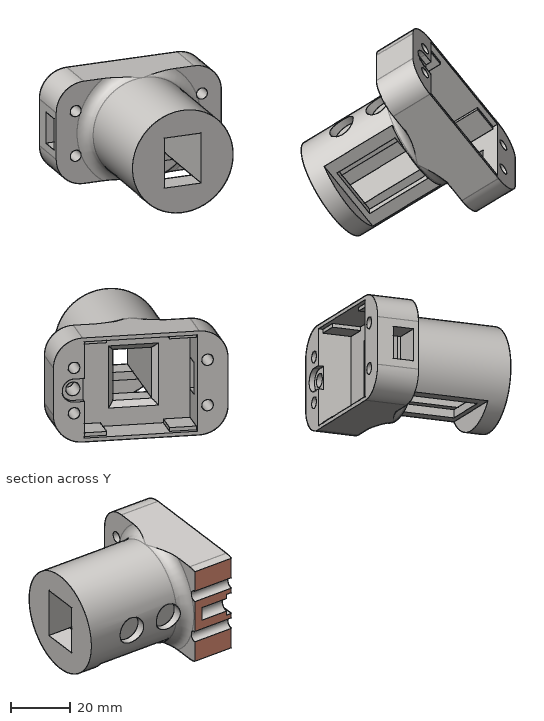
import cadquery as cq

FLANGE_WIDTH = 60.4
FLANGE_HEIGHT = 36.8
FLANGE_THICKNESS = 15.15
FLANGE_CORNER_RADIUS = 10.0

OVERALL_LENGTH = 54.5
BODY_RADIUS = FLANGE_HEIGHT / 2
ROOT_FILLET_RADIUS = 4.15

POCKET_WIDTH = 39.05
POCKET_HEIGHT = 34.05
POCKET_DEPTH = 12.1
PAD_START = 1.75
PAD_HEIGHT = 1.3
PAD_WIDTH_LEFT = 8.1
PAD_WIDTH_RIGHT = 9.25

WINDOW_WIDTH = 13.4
WINDOW_HEIGHT = 18.0
WINDOW_CENTER_Z = 0.3
WINDOW_CHAMFER = 2.0

SCREW_HOLE_DIAMETER = 4.0
SCREW_OFFSET_Y = 23.05
SCREW_OFFSET_Z = 8.0
RECESS_WIDTH = 8.15
RECESS_DEPTH = 2.0
RECESS_HOLE_DIAMETER = 4.8
RECESS_HOLE_END = POCKET_DEPTH

SIDE_OPENING_START = 5.85
SIDE_OPENING_LENGTH = 7.35
SIDE_OPENING_HEIGHT = 11.2

UNDERCUT_START = 19.8
UNDERCUT_END = 47.8
UNDERCUT_HEIGHT = 6.8
LEDGE = 2.0
UPPER_RECESS_WIDTH = 19.3

SIDE_HOLE_DIAMETER = 9.7
SIDE_HOLE_DEPTH = 3.4
SIDE_HOLE_FIRST_X = 22.8
SIDE_HOLE_SPACING = 15.0


def block(x_start, x_end, y_start, y_end, z_start, z_end):
    """Box between the given limits along each axis."""
    size = (x_end - x_start, y_end - y_start, z_end - z_start)
    return cq.Workplane("XY").box(*size, centered=False).translate((x_start, y_start, z_start))


def centred_block(x_start, x_end, width, height):
    """Box centred on the X axis."""
    return block(x_start, x_end, -width / 2, width / 2, -height / 2, height / 2)


def rod(x_start, x_end, diameter, y=0, z=0):
    """Cylinder parallel to the X axis."""
    plane = cq.Workplane("YZ", origin=(x_start, y, z))
    return plane.circle(diameter / 2).extrude(x_end - x_start)


def flange():
    plate = centred_block(0, FLANGE_THICKNESS, FLANGE_WIDTH, FLANGE_HEIGHT)
    return plate.edges("|X").fillet(FLANGE_CORNER_RADIUS)


def round_body():
    """Cylinder with a concave root fillet, trimmed level with the flange top and bottom."""
    fillet_end = FLANGE_THICKNESS + ROOT_FILLET_RADIUS
    root_radius = BODY_RADIUS + ROOT_FILLET_RADIUS
    arc_offset = ROOT_FILLET_RADIUS * (1 - 0.5 ** 0.5)
    turned = (
        cq.Workplane("XY")
        .moveTo(POCKET_DEPTH, 0)
        .lineTo(POCKET_DEPTH, BODY_RADIUS)
        .lineTo(FLANGE_THICKNESS, BODY_RADIUS)
        .lineTo(FLANGE_THICKNESS, root_radius)
        .threePointArc(
            (FLANGE_THICKNESS + arc_offset, BODY_RADIUS + arc_offset),
            (fillet_end, BODY_RADIUS),
        )
        .lineTo(OVERALL_LENGTH, BODY_RADIUS)
        .lineTo(OVERALL_LENGTH, 0)
        .close()
        .revolve(360, (0, 0, 0), (1, 0, 0))
    )
    return turned.intersect(centred_block(0, OVERALL_LENGTH, FLANGE_WIDTH, FLANGE_HEIGHT))


def pocket():
    """Pocket volume, less the pads that stay standing in its corners."""
    cavity = centred_block(0, POCKET_DEPTH, POCKET_WIDTH, POCKET_HEIGHT)
    side = POCKET_WIDTH / 2
    top = POCKET_HEIGHT / 2
    pad_spans = ((side - PAD_WIDTH_LEFT, side), (-side, PAD_WIDTH_RIGHT - side))
    for y_start, y_end in pad_spans:
        for z_start in (-top, top - PAD_HEIGHT):
            z_end = z_start + PAD_HEIGHT
            cavity = cavity.cut(block(PAD_START, POCKET_DEPTH, y_start, y_end, z_start, z_end))
    return cavity


def window():
    passage = centred_block(POCKET_DEPTH, OVERALL_LENGTH, WINDOW_WIDTH, WINDOW_HEIGHT)
    mouth = (
        cq.Workplane("YZ", origin=(POCKET_DEPTH, 0, 0))
        .rect(WINDOW_WIDTH + 2 * WINDOW_CHAMFER, WINDOW_HEIGHT + 2 * WINDOW_CHAMFER)
        .workplane(offset=WINDOW_CHAMFER)
        .rect(WINDOW_WIDTH, WINDOW_HEIGHT)
        .loft(ruled=True)
    )
    return passage.union(mouth).translate((0, 0, WINDOW_CENTER_Z))


def cut_screw_holes(body):
    for y in (-SCREW_OFFSET_Y, SCREW_OFFSET_Y):
        for z in (-SCREW_OFFSET_Z, SCREW_OFFSET_Z):
            body = body.cut(rod(0, FLANGE_THICKNESS + ROOT_FILLET_RADIUS, SCREW_HOLE_DIAMETER, y, z))
    return body


def recess():
    """U-shaped recess open to the pocket, with a blind hole at its round end."""
    half = RECESS_WIDTH / 2
    round_end = rod(0, RECESS_DEPTH, RECESS_WIDTH, SCREW_OFFSET_Y)
    channel = block(0, RECESS_DEPTH, POCKET_WIDTH / 2, SCREW_OFFSET_Y, -half, half)
    hole = rod(0, RECESS_HOLE_END, RECESS_HOLE_DIAMETER, SCREW_OFFSET_Y)
    return round_end.union(channel).union(hole)


def side_opening():
    half = SIDE_OPENING_HEIGHT / 2
    x_end = SIDE_OPENING_START + SIDE_OPENING_LENGTH
    return block(SIDE_OPENING_START, x_end, -FLANGE_WIDTH / 2, -POCKET_WIDTH / 2, -half, half)


def undercut():
    """Full-width cut below a ledge, stepping in to a recess that reaches the window floor."""
    bottom = -FLANGE_HEIGHT / 2
    reach = FLANGE_WIDTH / 2
    ledge_z = bottom + UNDERCUT_HEIGHT
    window_floor = WINDOW_CENTER_Z - WINDOW_HEIGHT / 2
    half = UPPER_RECESS_WIDTH / 2
    lower = block(UNDERCUT_START, UNDERCUT_END, -reach, reach, bottom, ledge_z)
    upper = block(UNDERCUT_START + LEDGE, UNDERCUT_END - LEDGE, -half, half, ledge_z, window_floor)
    return lower.union(upper)


def cut_side_holes(body):
    for index in range(2):
        x = SIDE_HOLE_FIRST_X + index * SIDE_HOLE_SPACING
        floor = cq.Workplane("XZ", origin=(x, BODY_RADIUS - SIDE_HOLE_DEPTH, 0))
        body = body.cut(floor.circle(SIDE_HOLE_DIAMETER / 2).extrude(-2 * SIDE_HOLE_DEPTH))
    return body


body = flange().union(round_body())
body = body.cut(pocket())
body = body.cut(window())
body = body.cut(recess())
body = body.cut(side_opening())
body = body.cut(undercut())
body = cut_screw_holes(body)
body = cut_side_holes(body)

result = body